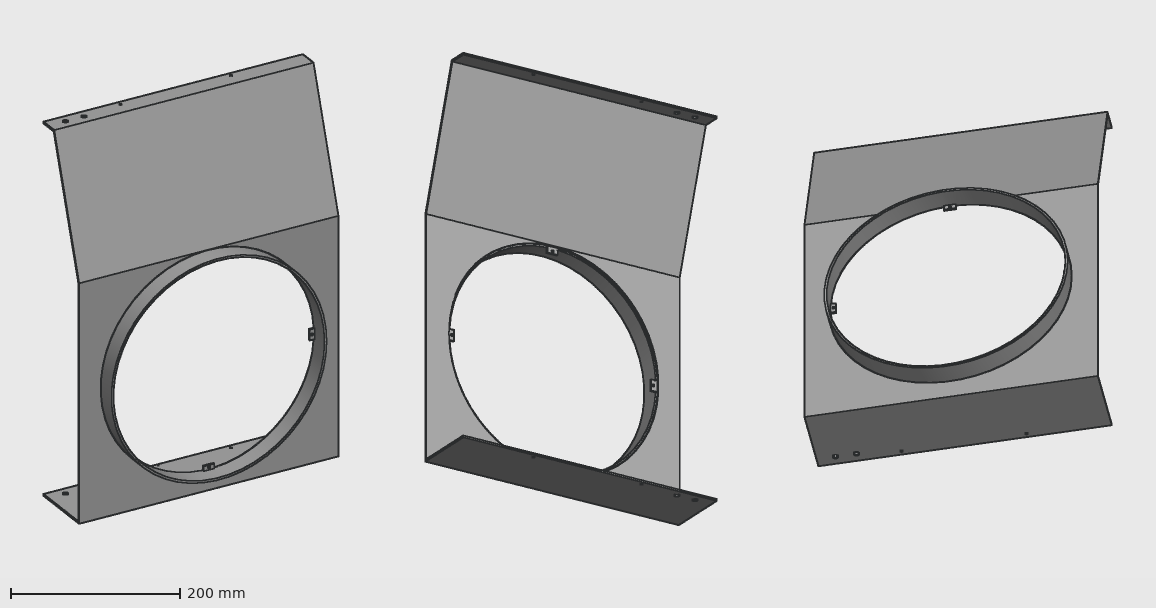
import cadquery as cq
import math

depth = 110.5
width = 353.0
height = 495.5
sheet = 2.5
plate_back = 84.5
top_flange_depth = 26.0
bend_height = 318.5

ring_outer_radius = 146.5
ring_wall = 3.0
ring_inner_radius = ring_outer_radius - ring_wall
ring_y = -1.0
ring_z = 172.0
plate_front = plate_back - sheet
plate_opening_radius = 146.0

tab_count = 4
tab_width = 14.5
tab_tip_radius = 137.0
tab_root_radius = ring_inner_radius + ring_wall / 2
tab_hole_radius = 140.0
tab_hole_diameter = 3.0

small_hole_diameter = 3.0
small_hole_x = 6.0
small_hole_spacing = 150.5
large_hole_diameter = 6.5
large_hole_x = 12.0
large_hole_ys = (-128.5, -153.5)


def make_bent_sheet():
    """Constant-thickness profile: bottom flange, plate, slope and top flange."""
    slope_angle = math.atan2(plate_back - top_flange_depth, height - bend_height)
    plate_shift = sheet * math.tan(slope_angle / 2)
    flange_shift = sheet * math.tan((math.pi / 2 - slope_angle) / 2)
    profile = [
        (0, 0),
        (plate_back, 0),
        (plate_back, bend_height),
        (top_flange_depth, height),
        (0, height),
        (0, height - sheet),
        (top_flange_depth - flange_shift, height - sheet),
        (plate_front, bend_height - plate_shift),
        (plate_front, sheet),
        (0, sheet),
    ]
    return cq.Workplane("XZ").polyline(profile).close().extrude(width / 2, both=True)


def ring_cylinder(radius, start, end):
    """Cylinder on the ring axis between two depths."""
    plane = cq.Workplane("YZ", origin=(start, ring_y, ring_z))
    return plane.circle(radius).extrude(end - start)


def make_ring():
    """Open ring from the plate back to the rear of the part."""
    outside = ring_cylinder(ring_outer_radius, plate_back, depth)
    return outside.cut(ring_cylinder(ring_inner_radius, plate_back, depth))


def make_tab(angle):
    """Flat tab at the front end of the ring, with a small hole near its tip."""
    tab_length = tab_root_radius - tab_tip_radius
    plane = cq.Workplane("YZ", origin=(plate_back, ring_y, ring_z))
    tab = (
        plane.center((tab_root_radius + tab_tip_radius) / 2, 0)
        .rect(tab_length, tab_width)
        .extrude(sheet)
    )
    hole = plane.center(tab_hole_radius, 0).circle(tab_hole_diameter / 2).extrude(sheet)
    axis_start = (0, ring_y, ring_z)
    axis_end = (1, ring_y, ring_z)
    return tab.cut(hole).rotate(axis_start, axis_end, angle)


def flange_holes(points, diameter):
    """Vertical drills through the top and bottom flanges."""
    return cq.Workplane("XY").pushPoints(points).circle(diameter / 2).extrude(height)


result = make_bent_sheet().cut(ring_cylinder(plate_opening_radius, plate_front, plate_back))
result = result.union(make_ring())
for index in range(tab_count):
    result = result.union(make_tab(index * 360 / tab_count))

small_hole_points = [(small_hole_x, side * small_hole_spacing / 2) for side in (-1, 1)]
large_hole_points = [(large_hole_x, y) for y in large_hole_ys]
result = result.cut(flange_holes(small_hole_points, small_hole_diameter))
result = result.cut(flange_holes(large_hole_points, large_hole_diameter))